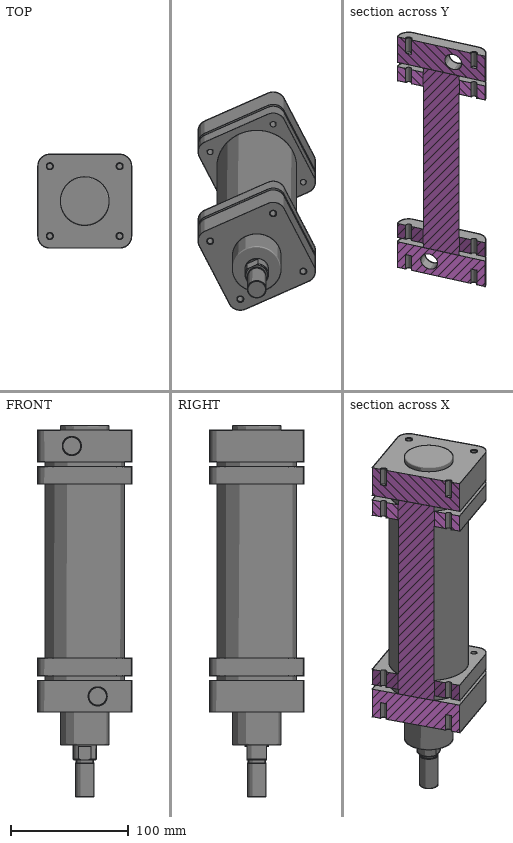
import cadquery as cq
import math

SIDE = 80.0
BOLT_CIRCLE_DIAMETER = 84.0
BOLT_SPACING = BOLT_CIRCLE_DIAMETER / math.sqrt(2)
CORNER_RADIUS = (SIDE - BOLT_SPACING) / 2
CAP_HEIGHT = 27.0
FLANGE_HEIGHT = 15.0
CAP_FLANGE_GAP = 4.0

BOLT_HOLE_DIAMETER = 5.0
BOLT_MOUTH_DIAMETER = 6.0
BOLT_HOLE_DEPTH = 15.0

PORT_DIAMETER = 15.0
PORT_MOUTH_DIAMETER = 16.3
PORT_DEPTH = 15.0
PORT_OFFSET = 11.0

BARREL_DIAMETER = 68.0
BARREL_CLEAR_LENGTH = 148.0

BOSS_DIAMETER = 41.5
REAR_BOSS_HEIGHT = 4.0
NOSE_HEIGHT = 28.0
BOSS_FILLET = 1.0

ROD_DIAMETER = 20.0
ROD_NECK_LENGTH = 1.0
ROD_FLATS_WIDTH = 17.0
ROD_SHOULDER_LENGTH = 12.5
ROD_SHOULDER_CHAMFER = 0.9
RELIEF_DIAMETER = 14.5
RELIEF_LENGTH = 2.5
THREAD_DIAMETER = 16.0
THREAD_LENGTH = 29.0
THREAD_CHAMFER = 0.5

NOSE_FACE_Z = THREAD_LENGTH + RELIEF_LENGTH + ROD_SHOULDER_LENGTH
FRONT_CAP_Z = NOSE_FACE_Z + NOSE_HEIGHT
BARREL_BOTTOM_Z = FRONT_CAP_Z + CAP_HEIGHT
FRONT_FLANGE_Z = BARREL_BOTTOM_Z + CAP_FLANGE_GAP
REAR_FLANGE_Z = FRONT_FLANGE_Z + FLANGE_HEIGHT + BARREL_CLEAR_LENGTH
BARREL_TOP_Z = REAR_FLANGE_Z + FLANGE_HEIGHT + CAP_FLANGE_GAP
REAR_CAP_TOP_Z = BARREL_TOP_Z + CAP_HEIGHT


def cylinder(diameter, bottom, height):
    return cq.Workplane("XY").workplane(offset=bottom).circle(diameter / 2).extrude(height)


def square_plate(bottom, height):
    """Square plate with rounded corners."""
    return (
        cq.Workplane("XY").workplane(offset=bottom)
        .rect(SIDE, SIDE).extrude(height)
        .edges("|Z").fillet(CORNER_RADIUS)
    )


def bolt_positions(plane):
    return plane.rect(BOLT_SPACING, BOLT_SPACING, forConstruction=True).vertices()


def countersunk_holes(positions, diameter, mouth_diameter, depth):
    """Blind holes with 45 degree mouths, sunk against the normal of the positions' workplane."""
    mouth_depth = (mouth_diameter - diameter) / 2
    profile = [
        (0, 0),
        (mouth_diameter / 2, 0),
        (diameter / 2, -mouth_depth),
        (diameter / 2, -depth),
        (0, -depth),
    ]
    cutter = cq.Workplane("XZ").polyline(profile).close().revolve(360, (0, 0), (0, 1)).val()
    return positions.eachpoint(cutter, combine=False, useLocalCoordinates=True)


def make_cap(bottom, outer_face, port_x, boss):
    """End cap: square block, round boss, bolt holes in the outer face and a port in the -Y face."""
    port_face = cq.Workplane("XZ", origin=(port_x, -SIDE / 2, bottom + CAP_HEIGHT / 2))
    port = countersunk_holes(port_face, PORT_DIAMETER, PORT_MOUTH_DIAMETER, PORT_DEPTH)
    bolt_holes = countersunk_holes(
        bolt_positions(outer_face), BOLT_HOLE_DIAMETER, BOLT_MOUTH_DIAMETER, BOLT_HOLE_DEPTH
    )
    return square_plate(bottom, CAP_HEIGHT).union(boss).cut(port).cut(bolt_holes)


def make_front_cap():
    nose = cylinder(BOSS_DIAMETER, NOSE_FACE_Z, NOSE_HEIGHT).faces("<Z").fillet(BOSS_FILLET)
    outer_face = cq.Workplane(cq.Plane(origin=(0, 0, FRONT_CAP_Z), normal=(0, 0, -1)))
    return make_cap(FRONT_CAP_Z, outer_face, PORT_OFFSET, nose)


def make_rear_cap():
    boss = cylinder(BOSS_DIAMETER, REAR_CAP_TOP_Z, REAR_BOSS_HEIGHT).faces(">Z").fillet(BOSS_FILLET)
    outer_face = cq.Workplane("XY", origin=(0, 0, REAR_CAP_TOP_Z))
    return make_cap(BARREL_TOP_Z, outer_face, -PORT_OFFSET, boss)


def make_flange(bottom):
    """Clamping flange that fits around the barrel, with a bolt hole through each corner."""
    plate = square_plate(bottom, FLANGE_HEIGHT)
    bore = cylinder(BARREL_DIAMETER, bottom, FLANGE_HEIGHT)
    bolt_plane = cq.Workplane("XY").workplane(offset=bottom)
    bolt_holes = bolt_positions(bolt_plane).circle(BOLT_HOLE_DIAMETER / 2).extrude(FLANGE_HEIGHT)
    return plate.cut(bore).cut(bolt_holes)


def make_barrel():
    return cylinder(BARREL_DIAMETER, BARREL_BOTTOM_Z, BARREL_TOP_Z - BARREL_BOTTOM_Z)


def make_rod():
    shoulder_z = NOSE_FACE_Z - ROD_SHOULDER_LENGTH
    shoulder = cylinder(ROD_DIAMETER, shoulder_z, ROD_SHOULDER_LENGTH)
    shoulder = shoulder.faces("<Z").chamfer(ROD_SHOULDER_CHAMFER)
    flats_length = ROD_SHOULDER_LENGTH - ROD_NECK_LENGTH
    flats = (
        cq.Workplane("XY").workplane(offset=shoulder_z)
        .rect(ROD_DIAMETER, ROD_FLATS_WIDTH).extrude(flats_length)
    )
    neck = cylinder(ROD_DIAMETER, NOSE_FACE_Z - ROD_NECK_LENGTH, ROD_NECK_LENGTH)
    relief = cylinder(RELIEF_DIAMETER, THREAD_LENGTH, RELIEF_LENGTH)
    thread = cylinder(THREAD_DIAMETER, 0, THREAD_LENGTH).faces("<Z or >Z").chamfer(THREAD_CHAMFER)
    return shoulder.intersect(flats).union(neck).union(relief).union(thread)


front_cap = make_front_cap()
rear_cap = make_rear_cap()
flanges = [make_flange(bottom) for bottom in (FRONT_FLANGE_Z, REAR_FLANGE_Z)]
barrel = make_barrel()
rod = make_rod()

result = cq.Compound.makeCompound([
    front_cap.val(),
    rear_cap.val(),
    *[flange.val() for flange in flanges],
    barrel.val(),
    rod.val(),
])